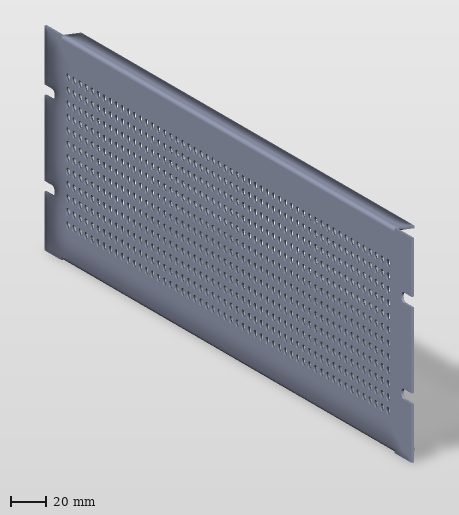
import cadquery as cq

panel_width = 482.5
panel_height = 132.5
panel_depth = 12.5

sheet_thickness = 1.5
bend_outer_radius = 2.25
bend_inner_radius = bend_outer_radius - sheet_thickness

ear_width = 22.0
flange_length = panel_width - 2 * ear_width

slot_width = 6.5
slot_depth = 13.5
slot_spacing = 57.0

hole_diameter = 4.5
hole_columns = 54
hole_rows = 12
grid_width = 421.0
grid_height = 87.5


def rounded_block(height, radius):
    """Block as long as the flanges, with its front face on Y = 0 and its long front edges rounded."""
    return (
        cq.Workplane("XY")
        .box(flange_length, panel_depth, height, centered=(True, False, True))
        .edges("|X and <Y")
        .fillet(radius)
    )


def folded_channel():
    """U-shaped middle length: the sheet with its top and bottom edges folded back."""
    outer = rounded_block(panel_height, bend_outer_radius)
    inner = rounded_block(panel_height - 2 * sheet_thickness, bend_inner_radius)
    return outer.cut(inner.translate((0, sheet_thickness, 0)))


def ears():
    """Flat full-height sheet at both ends, outside the folded length."""
    return (
        cq.Workplane("XY")
        .rarray(panel_width - ear_width, 5, 2, 1)
        .box(ear_width, sheet_thickness, panel_height, centered=(True, False, True))
    )


def mounting_slots():
    """Round-ended slots; each straddles an end edge so that only its inner half cuts."""
    return (
        cq.Workplane("XZ")
        .rarray(panel_width, slot_spacing, 2, 2)
        .slot2D(2 * slot_depth, slot_width)
        .extrude(-sheet_thickness)
    )


def perforation():
    """All the round holes of the ventilation grid."""
    column_pitch = grid_width / (hole_columns - 1)
    row_pitch = grid_height / (hole_rows - 1)
    return (
        cq.Workplane("XZ")
        .rarray(column_pitch, row_pitch, hole_columns, hole_rows)
        .circle(hole_diameter / 2)
        .extrude(-sheet_thickness)
    )


panel = folded_channel().union(ears())
result = panel.cut(mounting_slots()).cut(perforation())